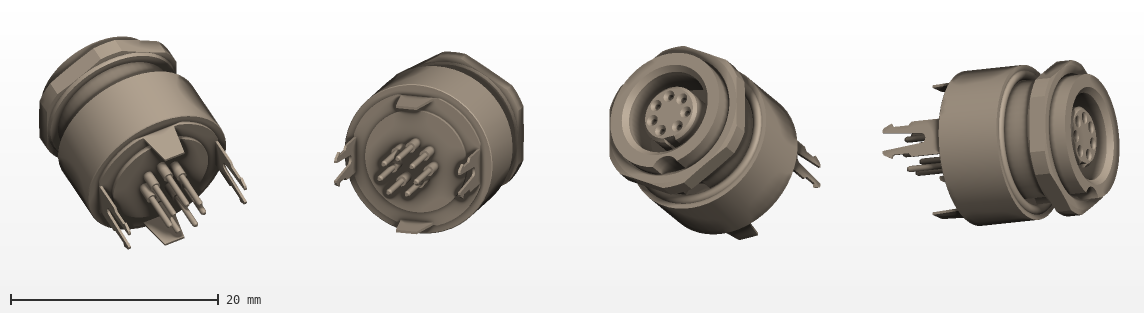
import cadquery as cq
import math


barrel_diameter = 12.0
scoop_radius = 1.47
scoop_centre_z = -6.5

cavity_diameter = 8.45
cavity_mouth_diameter = 9.48
cavity_depth = 4.84
cavity_chamfer = (cavity_mouth_diameter - cavity_diameter) / 2

core_diameter = 5.88
core_chamfer = 0.3
core_recess = 0.83
collar_diameter = 7.0
collar_length = 0.39
key_width = 1.16
key_floor_z = -2.53

nut_start = 1.6
nut_end = 3.3
nut_across_flats = 13.99
nut_chamfer_length = 0.08
nut_thread_diameter = 11.34
nut_countersink_diameter = 12.46
nut_washer_end = 3.64
nut_washer_front_diameter = 13.93
nut_washer_rear_diameter = 13.62

body_start = 6.6
body_end = 12.87
body_diameter = 15.0
body_chamfer = 0.08
seal_front = 6.3
seal_section_radius = 0.52
seal_circle_radius = 6.52

plate_end = 13.22
plate_diameter = 13.43
plate_half_width = 6.39
sheet_thickness = 0.25
blade_end = 16.58
blade_root_half_width = 1.65
blade_tip_half_width = 1.05
overall_length = 19.35
fork_half_width = 1.72
fork_notch_half_width = 1.37
fork_notch_start = 16.23
fork_barb_x = 18.4
fork_tip_shoulder_x = 19.21
fork_tip_shoulder_z = 1.34
fork_tip_inner_z = 0.89
fork_slot_radius = 0.48
fork_slot_end = 14.76

insert_end = 13.65
insert_diameter = 10.25
contact_count = 7
contact_spacing_angle = 50
contact_circle_radius = 1.85
sleeve_diameter = 1.0
sleeve_end = 15.3
pin_diameter = 0.6
pin_end = 19.31
pin_tip_chamfer = 0.12
pin_tip_length = 0.23
socket_mouth_diameter = 1.18
socket_diameter = 0.56
socket_cone_depth = (socket_mouth_diameter - socket_diameter) / 2
socket_depth = 0.77
socket_tip_diameter = 0.43
socket_tip_depth = 1.05


def cylinder(start, end, diameter, y=0.0, z=0.0):
    """Solid cylinder along X."""
    return cq.Workplane("YZ", origin=(start, y, z)).circle(diameter / 2).extrude(end - start)


def revolve_about_x(points):
    """Turn a closed outline of (x, radius) points about the X axis."""
    return cq.Workplane("XY").polyline(points).close().revolve(360, (0, 0, 0), (1, 0, 0))


def cone(start, end, start_diameter, end_diameter, y=0.0, z=0.0):
    """Truncated cone along X."""
    outline = [(start, 0), (start, start_diameter / 2), (end, end_diameter / 2), (end, 0)]
    return revolve_about_x(outline).translate((0, y, z))


def socket_tip(start, y, z):
    """Pointed recess at the bottom of a contact socket, slightly narrower than the socket."""
    tip_end = start + socket_tip_depth - socket_depth
    outline = [(start, 0), (start, socket_tip_diameter / 2), (tip_end, 0)]
    return revolve_about_x(outline).translate((0, y, z))


def contact_positions():
    """Give the (y, z) of each contact, evenly spaced about the top with a wider gap at the key."""
    for index in range(contact_count):
        angle = math.radians(90 + (index - contact_count // 2) * contact_spacing_angle)
        yield contact_circle_radius * math.cos(angle), contact_circle_radius * math.sin(angle)


def make_barrel():
    barrel = cylinder(0, body_start, barrel_diameter)
    barrel = barrel.cut(cylinder(0, body_start, 2 * scoop_radius, z=scoop_centre_z))
    barrel = barrel.cut(cylinder(0, cavity_depth, cavity_diameter))
    return barrel.cut(cone(0, cavity_chamfer, cavity_mouth_diameter, cavity_diameter))


def make_socket_core():
    collar_start = cavity_depth - collar_length
    core = cylinder(core_recess, cavity_depth, core_diameter).faces("<X").chamfer(core_chamfer)
    key_depth = core_diameter / 2
    keyway = cq.Workplane("XY").box(
        collar_start - core_recess, key_width, key_depth, centered=(False, True, False)
    ).translate((core_recess, 0, key_floor_z - key_depth))
    core = core.cut(keyway).union(cylinder(collar_start, cavity_depth, collar_diameter))
    for y, z in contact_positions():
        cone_end = core_recess + socket_cone_depth
        core = core.cut(cone(core_recess, cone_end, socket_mouth_diameter, socket_diameter, y, z))
        socket_end = core_recess + socket_depth
        core = core.cut(cylinder(core_recess, socket_end, socket_diameter, y, z))
        core = core.cut(socket_tip(socket_end, y, z))
    return core


def make_nut():
    corner_radius = nut_across_flats / 2 / math.cos(math.radians(30))
    hexagon = (
        cq.Workplane("YZ", origin=(nut_start, 0, 0))
        .polygon(6, 2 * corner_radius)
        .extrude(nut_end - nut_start)
        .rotate((0, 0, 0), (1, 0, 0), 30)
    )
    face_radius = nut_across_flats / 2
    rim_radius = body_diameter / 2
    blank = revolve_about_x([
        (nut_start, 0),
        (nut_start, face_radius),
        (nut_start + nut_chamfer_length, rim_radius),
        (nut_end - nut_chamfer_length, rim_radius),
        (nut_end, face_radius),
        (nut_end, 0),
    ])
    washer = cone(nut_end, nut_washer_end, nut_washer_front_diameter, nut_washer_rear_diameter)
    nut = hexagon.intersect(blank).union(washer)
    nut = nut.cut(cylinder(nut_start, nut_washer_end, nut_thread_diameter))
    countersink_depth = (nut_countersink_diameter - nut_thread_diameter) / 2
    countersink_end = nut_start + countersink_depth
    return nut.cut(cone(nut_start, countersink_end, nut_countersink_diameter, nut_thread_diameter))


def make_body():
    body = cylinder(body_start, body_end, body_diameter).faces(">X").edges().chamfer(body_chamfer)
    seal = (
        cq.Workplane("XY")
        .center(seal_front + seal_section_radius, seal_circle_radius)
        .circle(seal_section_radius)
        .revolve(360, (0, -seal_circle_radius, 0), (1, -seal_circle_radius, 0))
    )
    return body.union(seal)


def make_plate():
    """Round plate with four flats, rounded in front where the tabs are bent out."""
    width = 2 * plate_half_width
    square = (
        cq.Workplane("YZ", origin=(body_end, 0, 0))
        .rect(width, width)
        .extrude(plate_end - body_end)
        .faces("<X")
        .edges()
        .fillet(sheet_thickness)
    )
    return cylinder(body_end, plate_end, plate_diameter).intersect(square)


def make_blade():
    """Tapered tab on the +Z side."""
    return (
        cq.Workplane("XY", origin=(0, 0, plate_half_width - sheet_thickness))
        .moveTo(plate_end, -blade_root_half_width)
        .lineTo(blade_end, -blade_tip_half_width)
        .lineTo(blade_end, blade_tip_half_width)
        .lineTo(plate_end, blade_root_half_width)
        .close()
        .extrude(sheet_thickness)
    )


def make_fork():
    """Split snap-in tab on the -Y side."""
    notch_depth = fork_half_width - fork_notch_half_width
    slot_arc_x = fork_slot_end + fork_slot_radius
    upper_edge = [
        (fork_notch_start, fork_half_width),
        (fork_notch_start + notch_depth, fork_notch_half_width),
        (fork_barb_x - notch_depth / 2, fork_notch_half_width),
        (fork_barb_x, fork_half_width),
        (fork_tip_shoulder_x, fork_tip_shoulder_z),
        (overall_length, (fork_tip_shoulder_z + fork_tip_inner_z) / 2),
        (overall_length, fork_tip_inner_z),
        (slot_arc_x, fork_slot_radius),
    ]
    outline = cq.Workplane("XZ", origin=(0, sheet_thickness - plate_half_width, 0))
    outline = outline.moveTo(plate_end, fork_half_width)
    for x, z in upper_edge:
        outline = outline.lineTo(x, z)
    outline = outline.threePointArc((fork_slot_end, 0), (slot_arc_x, -fork_slot_radius))
    for x, z in reversed(upper_edge[:-1]):
        outline = outline.lineTo(x, -z)
    return outline.lineTo(plate_end, -fork_half_width).close().extrude(sheet_thickness)


def make_contact(y, z):
    sleeve = cylinder(insert_end, sleeve_end, sleeve_diameter, y, z)
    pin = cylinder(insert_end, pin_end, pin_diameter, y, z)
    pin = pin.faces(">X").chamfer(pin_tip_length, pin_tip_chamfer)
    return sleeve.union(pin)


result = make_body()
result = result.union(make_barrel())
result = result.union(make_socket_core())
result = result.union(make_nut())
result = result.union(make_plate())
for half_turn in (0, 180):
    result = result.union(make_blade().rotate((0, 0, 0), (1, 0, 0), half_turn))
    result = result.union(make_fork().rotate((0, 0, 0), (1, 0, 0), half_turn))
result = result.union(cylinder(plate_end, insert_end, insert_diameter))
for contact_y, contact_z in contact_positions():
    result = result.union(make_contact(contact_y, contact_z))